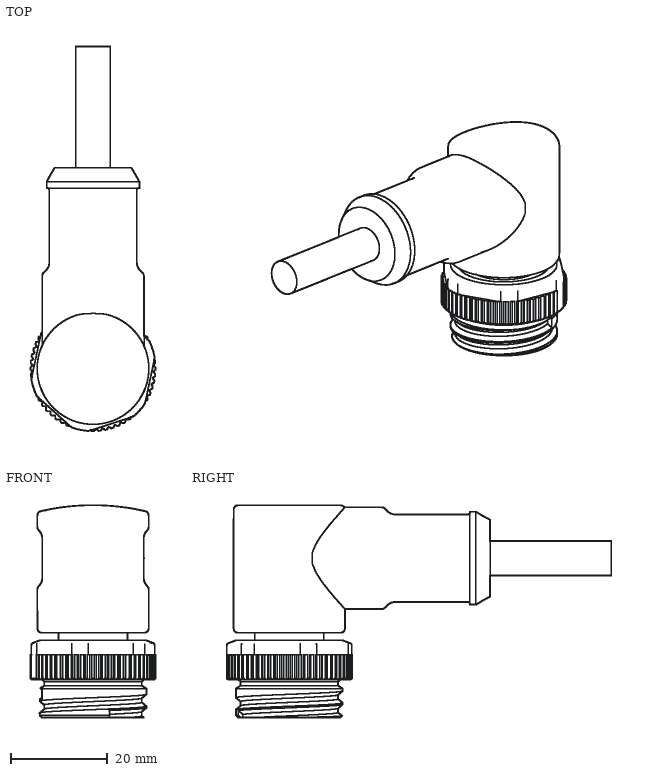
import cadquery as cq
import math

THREAD_MAJOR_RADIUS = 11.05
THREAD_MINOR_RADIUS = 10.1
THREAD_TOP_Z = 6.0
THREAD_TOP_CHAMFER_HEIGHT = 0.6
THREAD_PITCH = 2.8
THREAD_TIP_CHAMFER = 0.5
PLUG_FLARE = 0.4
GROOVE_FLOOR_WIDTH = 0.9
GROOVE_MOUTH_WIDTH = 2.5
GROOVE_START_ANGLE = 288
GROOVE_SWEEP_ANGLE = 629
GROOVE_END_Z = 5.1
GROOVE_OVERRUN = 0.8

NUT_RADIUS = 12.95
NUT_BOTTOM_Z = 7.8
NUT_TOP_Z = 16.0
NUT_BOTTOM_CHAMFER = 0.3
HEX_BOTTOM_Z = 12.95
HEX_ACROSS_FLATS = 24.0
HEX_CORNER_ANGLE = 198
HEX_CHAMFER_RADIUS = 11.0
HEX_CHAMFER_ANGLE = 20
HEX_EDGE_FILLET = 0.4
HEX_EDGE_MARGIN = 0.1
RECESS_RADIUS = 9.4
RECESS_DEPTH = 0.4

KNURL_COUNT = 60
KNURL_DEPTH = 0.5
KNURL_WIDTH = 0.95
KNURL_PLAIN_HALF_ANGLE = 6.5

NECK_RADIUS = 7.15

BODY_RADIUS = 11.5
BODY_BOTTOM_Z = 17.5
BODY_TOP_Z = 43.9
BODY_CROWN_RADIUS = 47.7
BODY_EDGE_FILLET = 0.95

GRIP_FLAT_X = 10.5
GRIP_FLAT_HEIGHT = 8.1
GRIP_RUNOUT_RADIUS = 2.4
GRIP_RIM_FILLET = 0.95

ARM_AXIS_Z = 32.9
ARM_DIAMETER = 21.1
ARM_RADIUS = ARM_DIAMETER / 2
ARM_END_Y = 19.1
ARM_EDGE_FILLET = 0.95
SLEEVE_RADIUS = 9.1
SLEEVE_COVE_RADIUS = 2.4
COLLAR_RADIUS = 9.6
COLLAR_START_Y = 37.3
COLLAR_TAPER_Y = 38.55
COLLAR_END_Y = 41.5
COLLAR_END_RADIUS = 7.95
COLLAR_ROOT_FILLET = 0.4
CABLE_RADIUS = 3.6
OVERALL_LENGTH = 79.5
CABLE_END_Y = OVERALL_LENGTH - NUT_RADIUS


def make_thread():
    """Threaded plug, with a helical groove that starts and stops abruptly."""
    groove_depth = THREAD_MAJOR_RADIUS - THREAD_MINOR_RADIUS
    plug = (
        cq.Workplane("XZ")
        .moveTo(0, 0)
        .lineTo(THREAD_MAJOR_RADIUS - THREAD_TIP_CHAMFER, 0)
        .lineTo(THREAD_MAJOR_RADIUS, THREAD_TIP_CHAMFER)
        .lineTo(THREAD_MAJOR_RADIUS, THREAD_TOP_Z)
        .lineTo(THREAD_MINOR_RADIUS, THREAD_TOP_Z + THREAD_TOP_CHAMFER_HEIGHT)
        .lineTo(THREAD_MINOR_RADIUS, NUT_BOTTOM_Z - PLUG_FLARE)
        .lineTo(THREAD_MINOR_RADIUS + PLUG_FLARE, NUT_BOTTOM_Z)
        .lineTo(0, NUT_BOTTOM_Z)
        .close()
        .revolve(360, (0, 0, 0), (0, 1, 0))
    )

    height = THREAD_PITCH * GROOVE_SWEEP_ANGLE / 360
    flank_slope = (GROOVE_MOUTH_WIDTH - GROOVE_FLOOR_WIDTH) / 2 / groove_depth
    outer_half = GROOVE_MOUTH_WIDTH / 2 + flank_slope * GROOVE_OVERRUN
    floor_half = GROOVE_FLOOR_WIDTH / 2
    outer_radius = THREAD_MAJOR_RADIUS + GROOVE_OVERRUN
    helix = cq.Wire.makeHelix(THREAD_PITCH, height, THREAD_MINOR_RADIUS)
    groove = (
        cq.Workplane("XZ")
        .polyline(
            [
                (THREAD_MINOR_RADIUS, -floor_half),
                (outer_radius, -outer_half),
                (outer_radius, outer_half),
                (THREAD_MINOR_RADIUS, floor_half),
            ]
        )
        .close()
        .sweep(cq.Workplane(helix), isFrenet=True)
        .rotate((0, 0, 0), (0, 0, 1), GROOVE_START_ANGLE)
        .translate((0, 0, GROOVE_END_Z - height))
    )
    return plug.cut(groove)


def make_nut():
    """Coupling nut: knurled ring below, chamfered hexagon with round corners above."""
    chamfer_drop = (NUT_RADIUS - HEX_CHAMFER_RADIUS) * math.tan(math.radians(HEX_CHAMFER_ANGLE))
    nut = (
        cq.Workplane("XZ")
        .moveTo(0, NUT_BOTTOM_Z)
        .lineTo(NUT_RADIUS - NUT_BOTTOM_CHAMFER, NUT_BOTTOM_Z)
        .lineTo(NUT_RADIUS, NUT_BOTTOM_Z + NUT_BOTTOM_CHAMFER)
        .lineTo(NUT_RADIUS, NUT_TOP_Z - chamfer_drop)
        .lineTo(HEX_CHAMFER_RADIUS, NUT_TOP_Z)
        .lineTo(0, NUT_TOP_Z)
        .close()
        .revolve(360, (0, 0, 0), (0, 1, 0))
    )

    hexagon_diameter = HEX_ACROSS_FLATS / math.cos(math.pi / 6)
    around_hexagon = (
        cq.Workplane("XY", origin=(0, 0, HEX_BOTTOM_Z))
        .circle(2 * NUT_RADIUS)
        .polygon(6, hexagon_diameter)
        .extrude(NUT_TOP_Z - HEX_BOTTOM_Z)
        .rotate((0, 0, 0), (0, 0, 1), HEX_CORNER_ANGLE)
    )
    recess = (
        cq.Workplane("XY", origin=(0, 0, NUT_TOP_Z - RECESS_DEPTH))
        .circle(RECESS_RADIUS)
        .extrude(RECESS_DEPTH)
    )

    groove_angles = []
    for index in range(KNURL_COUNT):
        angle = (index + 0.5) * 360 / KNURL_COUNT
        if KNURL_PLAIN_HALF_ANGLE < angle < 360 - KNURL_PLAIN_HALF_ANGLE:
            groove_angles.append(HEX_CORNER_ANGLE + angle)
    knurl_groove = (
        cq.Workplane("XY", origin=(0, 0, NUT_BOTTOM_Z))
        .polyline(
            [
                (NUT_RADIUS - KNURL_DEPTH, 0),
                (NUT_RADIUS + KNURL_DEPTH, KNURL_WIDTH),
                (NUT_RADIUS + KNURL_DEPTH, -KNURL_WIDTH),
            ]
        )
        .close()
        .extrude(HEX_BOTTOM_Z - NUT_BOTTOM_Z)
    )
    nut = nut.cut(around_hexagon)
    hexagon_top_edges = cq.selectors.BoxSelector(
        (-NUT_RADIUS, -NUT_RADIUS, NUT_TOP_Z - chamfer_drop - HEX_EDGE_MARGIN),
        (NUT_RADIUS, NUT_RADIUS, NUT_TOP_Z - HEX_EDGE_MARGIN),
    )
    nut = nut.edges(hexagon_top_edges).fillet(HEX_EDGE_FILLET).cut(recess)
    cutters = [knurl_groove.rotate((0, 0, 0), (0, 0, 1), angle).val() for angle in groove_angles]
    return cq.Workplane(nut.val().cut(*cutters))


def make_neck():
    """Plain shank that joins the nut to the body."""
    bottom_z = NUT_TOP_Z - RECESS_DEPTH
    return (
        cq.Workplane("XY", origin=(0, 0, bottom_z))
        .circle(NECK_RADIUS)
        .extrude(BODY_BOTTOM_Z - bottom_z)
    )


def make_body():
    """Upright elbow body with a crowned top and a grip flat on each side."""
    body = (
        cq.Workplane("XY", origin=(0, 0, BODY_BOTTOM_Z))
        .circle(BODY_RADIUS)
        .extrude(BODY_TOP_Z - BODY_BOTTOM_Z)
    )
    crown = (
        cq.Workplane("XZ", origin=(0, 0, BODY_TOP_Z - BODY_CROWN_RADIUS))
        .circle(BODY_CROWN_RADIUS)
        .extrude(2 * BODY_RADIUS, both=True)
    )
    body = body.intersect(crown).edges(">Z or <Z").fillet(BODY_EDGE_FILLET)

    half_height = GRIP_FLAT_HEIGHT / 2
    tip_x = GRIP_FLAT_X + GRIP_RUNOUT_RADIUS
    tip_z = half_height + GRIP_RUNOUT_RADIUS
    for side in (-1, 1):
        relief = (
            cq.Workplane("XZ", origin=(0, 0, ARM_AXIS_Z))
            .moveTo(side * GRIP_FLAT_X, -half_height)
            .lineTo(side * GRIP_FLAT_X, half_height)
            .radiusArc((side * tip_x, tip_z), side * GRIP_RUNOUT_RADIUS)
            .lineTo(side * tip_x, -tip_z)
            .radiusArc((side * GRIP_FLAT_X, -half_height), side * GRIP_RUNOUT_RADIUS)
            .close()
            .extrude(BODY_RADIUS, both=True)
        )
        body = body.cut(relief)
    rim_selector = cq.selectors.BoxSelector(
        (-2 * BODY_RADIUS, -BODY_RADIUS / 2, ARM_AXIS_Z - tip_z),
        (2 * BODY_RADIUS, BODY_RADIUS / 2, ARM_AXIS_Z + tip_z),
    )
    return body.edges(rim_selector).fillet(GRIP_RIM_FILLET)


def make_arm():
    """Elbow arm, sleeve, end collar and cable, all turned about one axis along Y."""
    diagonal = math.sqrt(0.5)
    start_y = math.sqrt(BODY_RADIUS**2 - GRIP_FLAT_X**2)
    cove_rise = SLEEVE_COVE_RADIUS * (1 - diagonal)
    cove_length = SLEEVE_COVE_RADIUS * diagonal
    shoulder_rise = ARM_EDGE_FILLET * (1 - diagonal)
    shoulder_end_y = ARM_END_Y + ARM_EDGE_FILLET * diagonal
    slope_rise = ARM_RADIUS - shoulder_rise - SLEEVE_RADIUS - cove_rise
    cove_start_y = shoulder_end_y + slope_rise
    return (
        cq.Workplane("XY", origin=(0, 0, ARM_AXIS_Z))
        .moveTo(0, start_y)
        .lineTo(ARM_RADIUS, start_y)
        .lineTo(ARM_RADIUS, ARM_END_Y)
        .radiusArc((ARM_RADIUS - shoulder_rise, shoulder_end_y), -ARM_EDGE_FILLET)
        .lineTo(SLEEVE_RADIUS + cove_rise, cove_start_y)
        .radiusArc((SLEEVE_RADIUS, cove_start_y + cove_length), SLEEVE_COVE_RADIUS)
        .lineTo(SLEEVE_RADIUS, COLLAR_START_Y - COLLAR_ROOT_FILLET)
        .radiusArc((SLEEVE_RADIUS + COLLAR_ROOT_FILLET, COLLAR_START_Y), COLLAR_ROOT_FILLET)
        .lineTo(COLLAR_RADIUS, COLLAR_START_Y)
        .lineTo(COLLAR_RADIUS, COLLAR_TAPER_Y)
        .lineTo(COLLAR_END_RADIUS, COLLAR_END_Y)
        .lineTo(CABLE_RADIUS, COLLAR_END_Y)
        .lineTo(CABLE_RADIUS, CABLE_END_Y)
        .lineTo(0, CABLE_END_Y)
        .close()
        .revolve(360, (0, 0, 0), (0, 1, 0))
    )


result = make_body().union(make_arm()).union(make_neck()).union(make_nut()).union(make_thread())